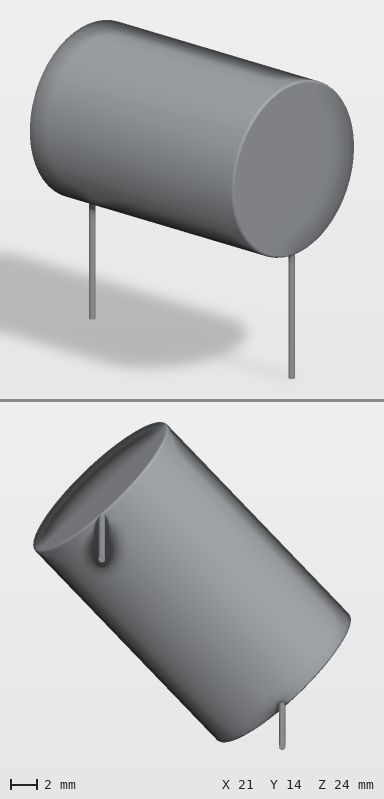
import cadquery as cq

overall_height = 24.0
body_length = 21.0
body_diameter = 14.0
edge_radius = 0.2
lead_diameter = 0.5

body_radius = body_diameter / 2
lead_radius = lead_diameter / 2
lead_length = overall_height - body_diameter
lead_offset = body_length / 2 - lead_radius


def make_body():
    """Cylinder lying along X with rounded end edges."""
    return (
        cq.Workplane("YZ", origin=(-body_length / 2, 0, 0))
        .circle(body_radius)
        .extrude(body_length)
        .faces("<X or >X")
        .edges()
        .fillet(edge_radius)
    )


def make_lead(x):
    """Round wire hanging down from the level of the body's underside."""
    return (
        cq.Workplane("XY", origin=(x, 0, -body_radius))
        .circle(lead_radius)
        .extrude(-lead_length)
    )


body = make_body()
leads = []
for side in (-1, 1):
    leads.append(make_lead(side * lead_offset))

result = cq.Compound.makeCompound([body.val(), *[lead.val() for lead in leads]])